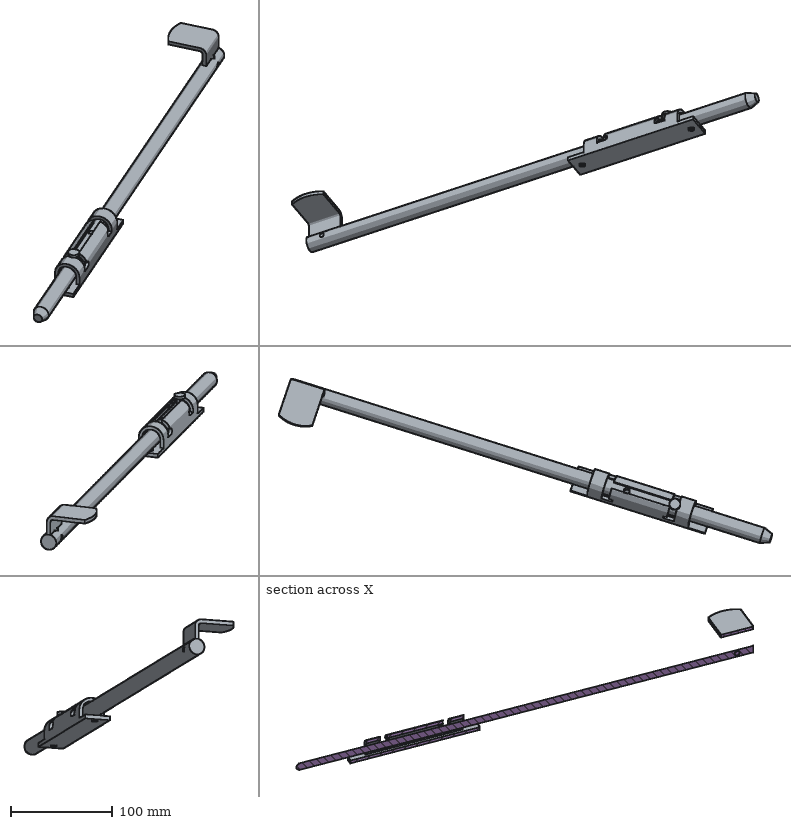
import cadquery as cq
import math


base_length = 140.0
base_thickness = 4.0
housing_width = 26.0
housing_wall = 3.5
housing_center_y = 134.5
sleeve_length = 105.0
arch_radius = housing_width / 2
bore_radius = arch_radius - housing_wall
arch_axis_z = 12.5
arch_top_z = arch_axis_z + arch_radius

guide_width = 7.0
notch_width = 7.5
notch_spacing = 68.0
notch_floor_z = 10.5
hook_height = 6.0
hook_reach = 4.0

mount_hole_diameter = 6.0
mount_hole_spacing = 122.0
countersink_diameter = 10.0
countersink_angle = 90.0

rod_length = 500.0
rod_diameter = 16.0
rod_radius = rod_diameter / 2
rod_axis_z = arch_axis_z
rod_top_z = rod_axis_z + rod_radius
tip_length = 9.0
tip_diameter = 9.0

screw_y = 100.0
screw_hole_pitch = 50.0
screw_diameter = 6.0
screw_hole_depth = 8.0
drill_point_angle = 118.0
screw_head_diameter = 11.0
screw_head_height = 3.0
screw_head_top_z = 28.5

handle_width = 35.0
handle_thickness = 4.0
handle_top_z = 40.5
handle_reach = 42.5
handle_tip_rise = 4.5
bend_inner_radius = 3.0
bend_outer_radius = bend_inner_radius + handle_thickness
handle_center_y = rod_length - handle_width / 2
tenon_hole_diameter = 8.0
tenon_width = math.sqrt(tenon_hole_diameter**2 - handle_thickness**2)
tenon_depth = 12.0
tenon_floor_z = rod_top_z - tenon_depth

cross_pin_diameter = 4.5


def cylinder(diameter, height, base_point, direction):
    """Solid cylinder that starts at base_point and runs along direction."""
    solid = cq.Solid.makeCylinder(diameter / 2, height, cq.Vector(*base_point), cq.Vector(*direction))
    return cq.Workplane(solid)




def make_base():
    hole_points = [(0, -mount_hole_spacing / 2), (0, mount_hole_spacing / 2)]
    return (
        cq.Workplane("XY")
        .box(housing_width, base_length, base_thickness, centered=(True, True, False))
        .faces(">Z")
        .workplane()
        .pushPoints(hole_points)
        .cskHole(mount_hole_diameter, countersink_diameter, countersink_angle)
        .translate((0, housing_center_y, 0))
    )


def arch(radius):
    """Upright-sided arch that stands on the base and runs the length of the sleeve."""
    return (
        cq.Workplane("XZ", origin=(0, housing_center_y + sleeve_length / 2, 0))
        .moveTo(-radius, base_thickness)
        .lineTo(-radius, arch_axis_z)
        .threePointArc((0, arch_axis_z + radius), (radius, arch_axis_z))
        .lineTo(radius, base_thickness)
        .close()
        .extrude(sleeve_length)
    )


def guide_slot():
    return cq.Workplane("XY", origin=(0, housing_center_y, arch_axis_z)).box(
        guide_width, notch_spacing, arch_radius, centered=(True, True, False)
    )


def hooked_notch(side):
    """Cross notch at one end of the guide slot; its rounded hook points to the sleeve middle."""
    hook_radius = hook_height / 2
    notch_y = housing_center_y + side * notch_spacing / 2
    outer_y = notch_y + side * notch_width / 2
    inner_y = notch_y - side * notch_width / 2
    hook_tip_y = inner_y - side * hook_reach
    hook_axis_y = hook_tip_y + side * hook_radius
    hook_top_z = notch_floor_z + hook_height
    return (
        cq.Workplane("YZ")
        .moveTo(outer_y, notch_floor_z)
        .lineTo(hook_axis_y, notch_floor_z)
        .threePointArc((hook_tip_y, notch_floor_z + hook_radius), (hook_axis_y, hook_top_z))
        .lineTo(inner_y, hook_top_z)
        .lineTo(inner_y, arch_top_z)
        .lineTo(outer_y, arch_top_z)
        .close()
        .extrude(arch_radius, both=True)
    )


def make_housing():
    sleeve = arch(arch_radius).cut(arch(bore_radius)).cut(guide_slot())
    for side in (-1, 1):
        sleeve = sleeve.cut(hooked_notch(side))
    return make_base().union(sleeve)




def screw_hole(y):
    """Space of a blind vertical hole in the rod top, with a conical drill point."""
    radius = screw_diameter / 2
    point_depth = radius / math.tan(math.radians(drill_point_angle / 2))
    floor_z = rod_top_z - screw_hole_depth
    bore = cylinder(screw_diameter, screw_hole_depth, (0, y, floor_z), (0, 0, 1))
    point = cq.Solid.makeCone(radius, 0, point_depth, cq.Vector(0, y, floor_z), cq.Vector(0, 0, -1))
    return bore.union(cq.Workplane(point))


def make_stop_screw():
    """Headed screw that fills the front screw hole and stands up through the housing."""
    shank = cylinder(screw_diameter, screw_head_top_z - rod_top_z, (0, screw_y, rod_top_z), (0, 0, 1))
    head_z = screw_head_top_z - screw_head_height
    head = cylinder(screw_head_diameter, screw_head_height, (0, screw_y, head_z), (0, 0, 1))
    return screw_hole(screw_y).union(shank).union(head)




def plain_rod():
    """Round rod with a tapered tip, before any hole is made."""
    profile = [
        (0, 0),
        (0, tip_diameter / 2),
        (tip_length, rod_radius),
        (rod_length, rod_radius),
        (rod_length, 0),
    ]
    rod = cq.Workplane("YZ").polyline(profile).close().revolve(360, (0, 0, 0), (1, 0, 0))
    return rod.translate((0, 0, rod_axis_z))


def cross_hole():
    start = (-rod_radius, handle_center_y, rod_axis_z)
    return cylinder(cross_pin_diameter, rod_diameter, start, (1, 0, 0))


def make_rod():
    tenon_hole = cylinder(tenon_hole_diameter, tenon_depth, (0, handle_center_y, tenon_floor_z), (0, 0, 1))
    rod = plain_rod().cut(tenon_hole).cut(cross_hole())
    for y in (screw_y, screw_y + screw_hole_pitch):
        rod = rod.cut(screw_hole(y))
    return rod


def make_cross_pin():
    """Pin across the rod, ended flush with the rod surface."""
    return cross_hole().intersect(plain_rod())




def arc_middle(center_x, center_z, radius):
    """Point halfway along a quarter arc that faces +X and +Z."""
    offset = radius * math.sqrt(0.5)
    return (center_x + offset, center_z + offset)


def bent_strip():
    """Plate bent through a right angle, its upright leg reaching the rod axis."""
    half = handle_thickness / 2
    underside_z = handle_top_z - handle_thickness
    bend_x = half - bend_outer_radius
    bend_z = handle_top_z - bend_outer_radius
    return (
        cq.Workplane("XZ", origin=(0, rod_length, 0))
        .moveTo(-handle_reach, handle_top_z)
        .lineTo(bend_x, handle_top_z)
        .threePointArc(arc_middle(bend_x, bend_z, bend_outer_radius), (half, bend_z))
        .lineTo(half, rod_axis_z)
        .lineTo(-half, rod_axis_z)
        .lineTo(-half, bend_z)
        .threePointArc(arc_middle(bend_x, bend_z, bend_inner_radius), (bend_x, underside_z))
        .lineTo(-handle_reach, underside_z)
        .close()
        .extrude(handle_width)
    )


def handle_plan():
    """Plan outline of the handle, with a bowed grip end, as a tall block."""
    corner_x = handle_tip_rise - handle_reach
    back_y = rod_length
    front_y = rod_length - handle_width
    return (
        cq.Workplane("XY")
        .moveTo(rod_radius, back_y)
        .lineTo(corner_x, back_y)
        .threePointArc((-handle_reach, handle_center_y), (corner_x, front_y))
        .lineTo(rod_radius, front_y)
        .close()
        .extrude(handle_top_z)
    )


def make_handle():
    tenon = cq.Workplane("XY", origin=(0, handle_center_y, tenon_floor_z)).box(
        handle_thickness, tenon_width, tenon_depth, centered=(True, True, False)
    )
    plate = bent_strip().intersect(handle_plan()).cut(plain_rod())
    return plate.union(tenon).cut(cross_hole())


housing = make_housing()
rod = make_rod()
stop_screw = make_stop_screw()
handle = make_handle()
cross_pin = make_cross_pin()

result = cq.Compound.makeCompound(
    [body.solids().val() for body in (housing, rod, stop_screw, handle, cross_pin)]
)